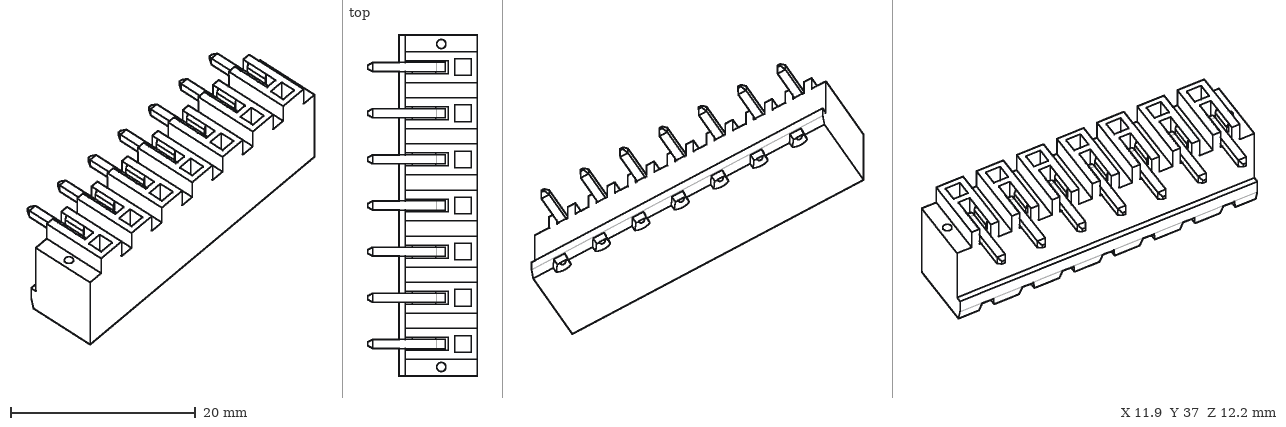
import cadquery as cq


poles = 7
pitch = 5.0
length = 37.0
height = 12.2
depth = 8.5
wall_x = 0.67
ledge_z = 9.86
lip_height = 3.0
lip_chamfer_height = 1.45
lip_chamfer_depth = 0.35

rib_width = 3.35
slot_width = 1.4
slot_length = 4.65
test_opening_size = 1.8
test_opening_depth = 5.0
test_opening_x = depth - 1.56

end_hole_diameter = 0.99
end_hole_depth = 2.0
end_hole_x = (wall_x + depth) / 2
end_hole_inset = 1.0

pin_size = 1.0
pin_tip_x = -3.4
pin_taper_length = 0.55
pin_tip_size = 0.4
pin_end_x = wall_x + 4.35
pin_top_z = ledge_z + pin_size

cheek_start_x = wall_x + 0.75
cheek_length = 2.57
cheek_thickness = 0.2
cheek_slope_height = 0.6

recess_height = 1.22
recess_bottom_width = 1.88
recess_top_width = 1.4
recess_bottom_depth = 1.2
recess_top_depth = 0.92
recess_wall_radius = 2.2

ramp_height = 0.33
ramp_depth = 0.2
ramp_top_width = 0.75
ramp_foot_width = 0.35

pole_positions = [(i - (poles - 1) / 2) * pitch for i in range(poles)]


def make_box(x_min, x_max, y_center, width, z_min, z_max):
    return cq.Workplane("XY").box(
        x_max - x_min, width, z_max - z_min, centered=(False, True, False)
    ).translate((x_min, y_center, z_min))


def make_prism(plane, outline, thickness):
    return cq.Workplane(plane).polyline(outline).close().extrude(thickness)


def make_housing():
    profile = [
        (lip_chamfer_depth, 0),
        (depth, 0),
        (depth, ledge_z),
        (wall_x, ledge_z),
        (wall_x, lip_height),
        (0, lip_height),
        (0, lip_chamfer_height),
    ]
    return make_prism("XZ", profile, length).translate((0, length / 2, 0))


def make_rib(y):
    rib = make_box(wall_x, depth, y, rib_width, ledge_z, height)
    slot = make_box(wall_x, wall_x + slot_length, y, slot_width, ledge_z, height)
    return rib.cut(slot)


def make_cheeks(y):
    wall = slot_width / 2
    face = wall - cheek_thickness
    profile = [
        (wall, pin_top_z),
        (face, pin_top_z),
        (face, height - cheek_slope_height),
        (wall, height),
    ]
    cheek = make_prism("YZ", profile, cheek_length)
    pair = cheek.union(cheek.mirror("XZ"))
    return pair.translate((cheek_start_x, y, 0))


def make_pin(y):
    """Square pin with a tapered tip; its inner end bends down into the housing."""
    shank_x = pin_tip_x + pin_taper_length
    shank = (
        cq.Workplane("XZ", origin=(0, y + pin_size / 2, 0))
        .moveTo(shank_x, ledge_z)
        .lineTo(shank_x, pin_top_z)
        .lineTo(pin_end_x - pin_size, pin_top_z)
        .radiusArc((pin_end_x, ledge_z), pin_size)
        .close()
        .extrude(pin_size)
    )
    tip = (
        cq.Workplane("YZ", origin=(shank_x, y, ledge_z + pin_size / 2))
        .rect(pin_size, pin_size)
        .workplane(offset=-pin_taper_length)
        .rect(pin_tip_size, pin_tip_size)
        .loft()
    )
    return shank.union(tip)


def make_test_opening(y):
    half = test_opening_size / 2
    floor_z = height - test_opening_depth
    return make_box(test_opening_x - half, test_opening_x + half, y, test_opening_size, floor_z, height)


def make_ramp():
    """Sloped block that starts on the inner wall and rises to the ceiling, widening upward."""
    foot_z = recess_height - ramp_height
    foot_x = recess_bottom_depth + (recess_top_depth - recess_bottom_depth) * foot_z / recess_height
    side = [
        (foot_x - ramp_depth, recess_height),
        (foot_x, foot_z),
        (recess_bottom_depth, foot_z),
        (recess_bottom_depth, recess_height),
    ]
    front = [
        (-ramp_top_width / 2, recess_height),
        (-ramp_foot_width / 2, foot_z),
        (ramp_foot_width / 2, foot_z),
        (ramp_top_width / 2, recess_height),
    ]
    side_prism = make_prism("XZ", side, ramp_top_width).translate((0, ramp_top_width / 2, 0))
    return side_prism.intersect(make_prism("YZ", front, recess_bottom_depth))


def make_recess(y):
    """Recess that narrows upward and ends at a conical wall, with the ramp left standing in it."""
    front = [
        (-recess_bottom_width / 2, 0),
        (-recess_top_width / 2, recess_height),
        (recess_top_width / 2, recess_height),
        (recess_bottom_width / 2, 0),
    ]
    opening = make_prism("YZ", front, recess_bottom_depth)
    wall_top_radius = recess_wall_radius - (recess_bottom_depth - recess_top_depth)
    cone = cq.Workplane(cq.Solid.makeCone(recess_wall_radius, wall_top_radius, recess_height))
    cone = cone.translate((recess_bottom_depth - recess_wall_radius, 0, 0))
    return opening.intersect(cone).cut(make_ramp()).translate((0, y, 0))


def make_end_holes():
    y = length / 2 - end_hole_inset
    return (
        cq.Workplane("XY", origin=(0, 0, ledge_z))
        .pushPoints([(end_hole_x, -y), (end_hole_x, y)])
        .circle(end_hole_diameter / 2)
        .extrude(-end_hole_depth)
    )


result = make_housing().cut(make_end_holes())
for pole_y in pole_positions:
    result = result.union(make_rib(pole_y))
    result = result.union(make_cheeks(pole_y))
    result = result.union(make_pin(pole_y))
    result = result.cut(make_test_opening(pole_y))
    result = result.cut(make_recess(pole_y))